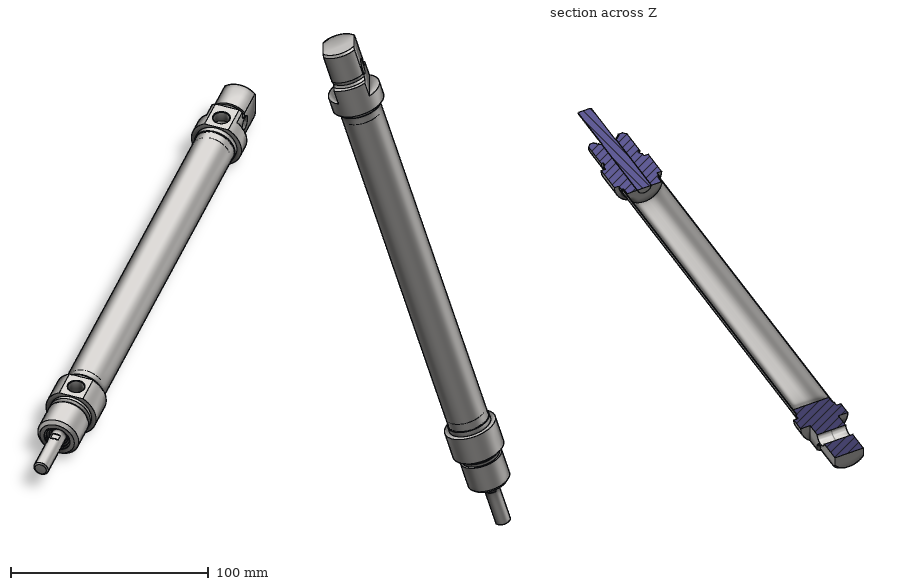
import cadquery as cq

total_length = 291.0

collar_dia = 27.0
mount_dia = 22.0
groove_dia = 19.8
tube_dia = 21.2
bore_dia = 20.0
rod_dia = 8.0

nose_start = 24.0
nose_end = 40.0
front_groove_end = 42.5
front_collar_start = 44.2
front_collar_end = 59.0
rear_collar_start = 255.8
rear_collar_end = 271.5
rear_groove_end = 275.0
shoulder_length = 2.5
spigot_length = 4.5
nose_chamfer = 1.7
tail_chamfer = 1.2
groove_taper = 1.2
tube_start = front_collar_end + shoulder_length
tube_end = rear_collar_start - shoulder_length

port_flat_height = 12.0
port_dia = 8.5
port_mouth_dia = 9.0
port_chamfer = (port_mouth_dia - port_dia) / 2
drill_tip_height = 2.3
front_port_y = (front_collar_start + front_collar_end) / 2
rear_port_y = 263.0
rear_port_floor = 5.8

recess_mouth_dia = 14.0
recess_floor_dia = 12.2
seat_dia = 10.2
recess_step_depth = 1.0
seat_depth = 1.7
recess_depth = 2.5
rod_hole_mouth_dia = 8.5
rod_hole_chamfer = (rod_hole_mouth_dia - rod_dia) / 2

eye_thickness = 16.3
eye_flat_start = 263.6
pivot_y = 275.3
pivot_dia = 8.0

rod_tip_dia = 6.0
rod_tip_length = 0.5
wrench_width = 6.7
wrench_start = 19.8
wrench_end = 23.3


def turned(profile):
    """Revolve a list of (diameter, y) points, closed along the Y axis."""
    points = [(0, profile[0][1])] + [(dia / 2, y) for dia, y in profile] + [(0, profile[-1][1])]
    return cq.Workplane("XY").polyline(points).close().revolve(360, (0, 0, 0), (0, 1, 0))


def block(width, y_start, y_end, z_start, z_end):
    """Box centred on X between the given Y and Z limits."""
    return cq.Workplane("XY").box(width, y_end - y_start, z_end - z_start, centered=(True, False, False)) \
        .translate((0, y_start, z_start))


def cut_port_flat(head, y_start, y_end):
    """Mill the flat on top of a collar."""
    return head.cut(block(collar_dia, y_start, y_end, port_flat_height, collar_dia))


def port_cutter(y, floor_z, tip_z):
    """Vertical port with a chamfered mouth, running from the flat to a drill tip."""
    mouth_z = port_flat_height
    outline = [
        (0, mouth_z),
        (port_mouth_dia / 2, mouth_z),
        (port_dia / 2, mouth_z - port_chamfer),
        (port_dia / 2, floor_z),
        (0, tip_z),
    ]
    cutter = cq.Workplane("XZ").polyline(outline).close().revolve(360, (0, 0, 0), (0, 1, 0))
    return cutter.translate((0, y, 0))


def make_front_head():
    head = turned([
        (mount_dia - 2 * nose_chamfer, nose_start),
        (mount_dia, nose_start + nose_chamfer),
        (mount_dia, nose_end),
        (groove_dia, nose_end),
        (groove_dia, front_groove_end - groove_taper),
        (mount_dia, front_groove_end),
        (mount_dia, front_collar_start),
        (collar_dia, front_collar_start),
        (collar_dia, front_collar_end),
        (mount_dia, front_collar_end),
        (mount_dia, tube_start),
        (bore_dia, tube_start),
        (bore_dia, tube_start + spigot_length),
    ])
    head = cut_port_flat(head, front_collar_start, front_collar_end)
    head = head.cut(port_cutter(front_port_y, 0, 0))
    recess_floor = nose_start + recess_depth
    rod_passage = turned([
        (recess_mouth_dia, nose_start),
        (recess_mouth_dia, nose_start + recess_step_depth),
        (recess_floor_dia, nose_start + recess_step_depth),
        (recess_floor_dia, nose_start + seat_depth),
        (seat_dia, nose_start + seat_depth),
        (seat_dia, recess_floor),
        (rod_hole_mouth_dia, recess_floor),
        (rod_dia, recess_floor + rod_hole_chamfer),
        (rod_dia, tube_start + spigot_length),
    ])
    return head.cut(rod_passage)


def make_tube():
    tube = cq.Workplane("XZ").circle(tube_dia / 2).circle(bore_dia / 2).extrude(tube_start - tube_end)
    return tube.translate((0, tube_start, 0))


def make_rear_head():
    head = turned([
        (bore_dia, tube_end - spigot_length),
        (bore_dia, tube_end),
        (mount_dia, tube_end),
        (mount_dia, rear_collar_start),
        (collar_dia, rear_collar_start),
        (collar_dia, rear_collar_end),
        (mount_dia, rear_collar_end),
        (groove_dia, rear_collar_end + groove_taper),
        (groove_dia, rear_groove_end),
        (mount_dia, rear_groove_end),
        (mount_dia, total_length - tail_chamfer),
        (mount_dia - 2 * tail_chamfer, total_length),
    ])
    head = cut_port_flat(head, rear_collar_start, rear_collar_end)
    head = head.cut(port_cutter(rear_port_y, rear_port_floor, rear_port_floor - drill_tip_height))
    side_offset = (eye_thickness + collar_dia) / 2
    for side in (-1, 1):
        waste = block(collar_dia, eye_flat_start, total_length, -collar_dia, collar_dia)
        head = head.cut(waste.translate((side * side_offset, 0, 0)))
    pivot_hole = cq.Workplane("YZ").center(pivot_y, 0).circle(pivot_dia / 2).extrude(collar_dia, both=True)
    return head.cut(pivot_hole)


def make_rod():
    rod = turned([
        (rod_tip_dia, 0),
        (rod_dia, rod_tip_length),
        (rod_dia, tube_start + spigot_length),
    ])
    for z_start, z_end in ((wrench_width / 2, rod_dia), (-rod_dia, -wrench_width / 2)):
        rod = rod.cut(block(rod_dia, wrench_start, wrench_end, z_start, z_end))
    return rod


front_head = make_front_head()
tube = make_tube()
rear_head = make_rear_head()
rod = make_rod()

result = cq.Compound.makeCompound([
    front_head.val(),
    tube.val(),
    rear_head.val(),
    rod.val(),
])